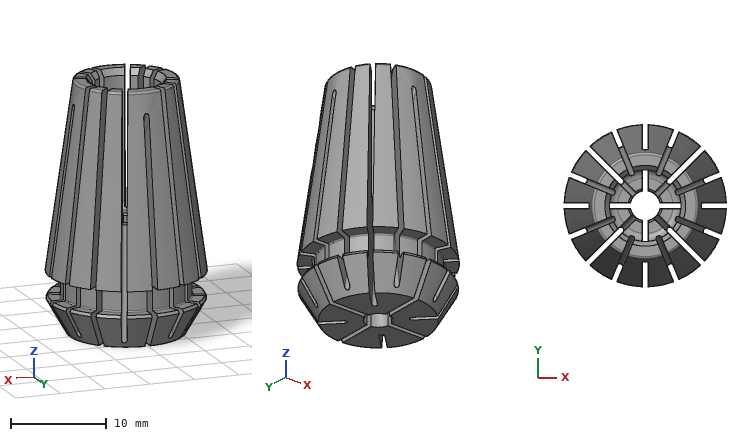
import cadquery as cq
import math

length = 27.5
body_radius = 8.5
body_base = 6.65
body_taper = 8.0
top_edge_fillet = 0.28

flange_radius = 8.42
flange_rim_height = 3.68
flange_top = 4.02
flange_top_radius = 8.22
flange_taper = 30.0

neck_radius = 6.9
neck_fillet = 0.15

bore_radius = 3.75
bore_floor = 12.32
bore_floor_fillet = 0.82
bore_mouth_radius = 4.24
bore_mouth_depth = 0.75
hole_radius = 1.57
hole_chamfer = 0.22

slot_width = 0.6
cutter_margin = 2.75
ceiling_point = (5.95, 25.33)
ceiling_slope = 60.0
through_floor_point = (3.3, 0.0)
shallow_floor_point = (6.63, 0.55)
through_floor_slope = 70.0
shallow_floor_slope = 75.0


def tan_deg(angle):
    return math.tan(math.radians(angle))


def make_body():
    top_radius = body_radius - (length - body_base) * tan_deg(body_taper)
    flange_base_radius = flange_radius - flange_rim_height * tan_deg(flange_taper)
    top_edge = (top_radius, length)
    neck_bottom = (neck_radius, flange_top)
    neck_top = (neck_radius, body_base)
    floor_corner = (bore_radius, bore_floor)
    hole_mouth = (hole_radius, bore_floor)
    outline = [
        (hole_radius, 0),
        (flange_base_radius, 0),
        (flange_radius, flange_rim_height),
        (flange_top_radius, flange_top),
        neck_bottom,
        neck_top,
        (body_radius, body_base),
        top_edge,
        (bore_mouth_radius, length),
        (bore_radius, length - bore_mouth_depth),
        floor_corner,
        hole_mouth,
        (hole_radius, 0),
    ]
    fillets = [
        (top_edge, top_edge_fillet),
        (neck_bottom, neck_fillet),
        (neck_top, neck_fillet),
        (floor_corner, bore_floor_fillet),
    ]

    section = cq.Sketch().polygon(outline)
    for corner, size in fillets:
        section = section.reset().vertices(cq.NearestToPointSelector(corner)).fillet(size)
    section = section.reset().vertices(cq.NearestToPointSelector(hole_mouth)).chamfer(hole_chamfer)
    return cq.Workplane("XZ").placeSketch(section.reset()).revolve(360, (0, 0, 0), (0, 1, 0))


def make_slot_cutter(end_point, slope, rise, open_height):
    """Half-plane slot along +X, from its sloping end to open_height.

    rise is +1 where the end gets higher away from the axis, -1 where it gets lower.
    """
    half_width = slot_width / 2
    gradient = rise * tan_deg(slope)
    toward_opening = math.copysign(1, open_height - end_point[1])
    axis_shift = toward_opening * half_width / math.cos(math.radians(slope))
    inner_height = end_point[1] - gradient * end_point[0] + axis_shift
    reach = body_radius + cutter_margin
    outer_height = inner_height + gradient * reach

    slab = (
        cq.Workplane("XZ")
        .polyline([(0, inner_height), (reach, outer_height), (reach, open_height), (0, open_height)])
        .close()
        .extrude(half_width, both=True)
    )
    round_end = cq.Solid.makeCylinder(
        half_width,
        math.hypot(reach, outer_height - inner_height),
        cq.Vector(0, 0, inner_height),
        cq.Vector(reach, 0, outer_height - inner_height),
    )
    return slab.union(cq.Workplane(round_end))


def cut_slots(body, cutter, angles):
    for angle in angles:
        body = body.cut(cutter.rotate((0, 0, 0), (0, 0, 1), angle))
    return body


above = 2 * length
below = -cutter_margin
slots_from_below = make_slot_cutter(ceiling_point, ceiling_slope, 1, below)
through_slots = make_slot_cutter(through_floor_point, through_floor_slope, -1, above)
shallow_slots = make_slot_cutter(shallow_floor_point, shallow_floor_slope, -1, above)

result = make_body()
result = cut_slots(result, slots_from_below, [90 * i for i in range(4)])
result = cut_slots(result, through_slots, [45 + 90 * i for i in range(4)])
result = cut_slots(result, shallow_slots, [22.5 + 45 * i for i in range(8)])